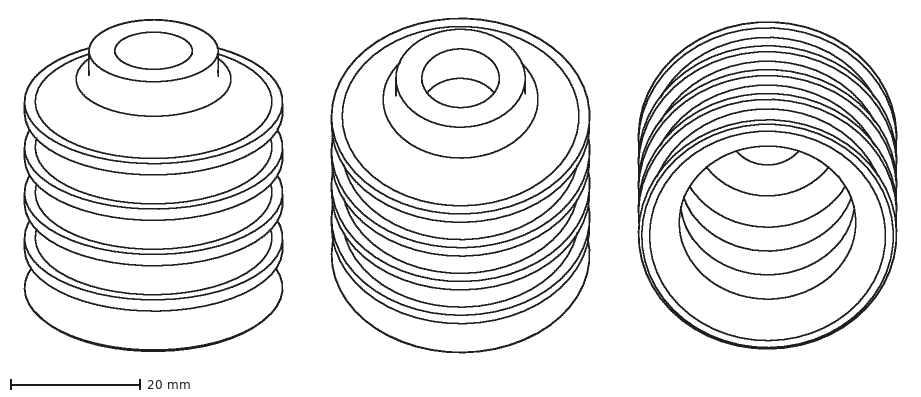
import cadquery as cq
import math

total_height = 42.4
outer_radius = 40.0 / 2

collar_radius = 20.0 / 2
collar_height = 5.0
collar_root_fillet = 0.8
bore_radius = 12.0 / 2
bore_depth = 7.0
shoulder_radius = 12.0
shoulder_z = total_height - collar_height
bore_end_z = total_height - bore_depth

ring_count = 4
ring_pitch = 8.0
ring_thickness = 2.0
first_ring_top_z = 33.4

groove_radius = 15.0
groove_fillet = 1.0
flank_slope = math.radians(37)
flank_height = (ring_pitch - ring_thickness) / 2

lip_bevel = 0.5

wall = 1.5
ceiling_radius = 11.4

groove_root_radius = groove_radius - groove_fillet * (1 / math.sin(flank_slope) - 1)

flank_end_radius = groove_root_radius + flank_height / math.tan(flank_slope)

inner_groove_root_radius = groove_root_radius - wall / math.sin(flank_slope)
inner_groove_fillet = groove_fillet + wall
inner_peak_radius = inner_groove_root_radius + (ring_pitch / 2) / math.tan(flank_slope)


def ring_top_z(index):
    return first_ring_top_z - index * ring_pitch


def groove_z(index):
    return ring_top_z(index) - ring_thickness - flank_height


last_groove_z = groove_z(ring_count - 1)
lip_slope = math.atan2(last_groove_z - lip_bevel, outer_radius - groove_root_radius)
lip_inner_radius = inner_groove_root_radius + last_groove_z / math.tan(lip_slope)


def revolve_profile(points):
    """Turn a closed half section of (radius, z) points about the Z axis."""
    return cq.Workplane("XZ").polyline(points).close().revolve(360, (0, 0, 0), (0, 1, 0))


def fillet_circle(body, edge_radius, z, fillet_radius):
    """Round the circular edge that has the given radius and height."""
    tolerance = 0.005
    reach = edge_radius + tolerance
    edge = cq.selectors.BoxSelector(
        (-reach, -reach, z - tolerance), (reach, reach, z + tolerance), boundingbox=True
    )
    return body.edges(edge).edges(cq.selectors.RadiusNthSelector(-1)).fillet(fillet_radius)


def make_outside():
    profile = [
        (0, total_height),
        (collar_radius, total_height),
        (collar_radius, shoulder_z),
        (shoulder_radius, shoulder_z),
    ]
    for index in range(ring_count):
        top = ring_top_z(index)
        bottom = top - ring_thickness
        profile += [
            (flank_end_radius, top),
            (outer_radius, top),
            (outer_radius, bottom),
            (flank_end_radius, bottom),
            (groove_root_radius, groove_z(index)),
        ]
    profile += [(outer_radius, lip_bevel), (outer_radius - lip_bevel, 0), (0, 0)]

    body = revolve_profile(profile)
    body = fillet_circle(body, collar_radius, shoulder_z, collar_root_fillet)
    for index in range(ring_count):
        body = fillet_circle(body, groove_root_radius, groove_z(index), groove_fillet)
    return body


def make_cavity():
    profile = [(0, bore_end_z), (ceiling_radius, bore_end_z)]
    for index in range(ring_count):
        peak_z = ring_top_z(index) - ring_thickness / 2
        profile += [
            (inner_peak_radius, peak_z),
            (inner_groove_root_radius, groove_z(index)),
        ]
    profile += [(lip_inner_radius, 0), (0, 0)]

    cavity = revolve_profile(profile)
    for index in range(ring_count):
        cavity = fillet_circle(cavity, inner_groove_root_radius, groove_z(index), inner_groove_fillet)
    return cavity


bore = cq.Workplane("XY").circle(bore_radius).extrude(total_height)
result = make_outside().cut(make_cavity()).cut(bore)